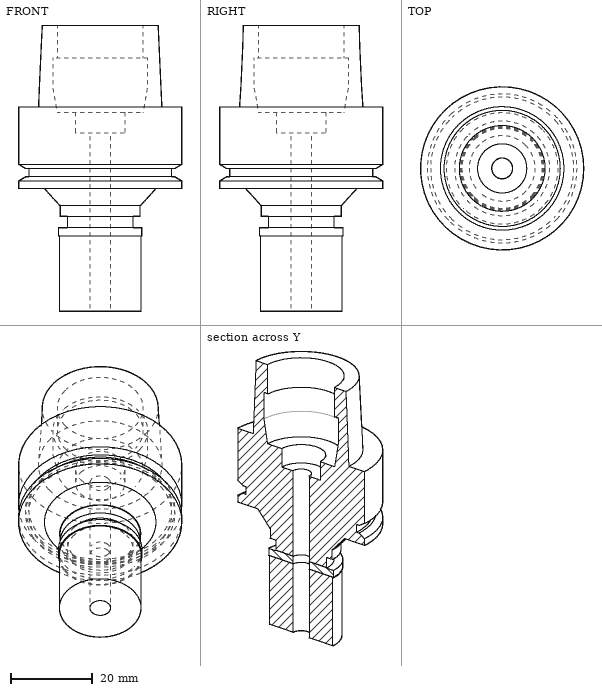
import cadquery as cq

total_height = 70.0
sleeve_top = 18.5
collar_top = 20.5
neck_top = 23.25
cone_bottom = 26.0
flange_bottom = 30.0
flange_top = 50.05

flange_diameter = 40.0
flange_radius = flange_diameter / 2
taper_base_radius = 15.1
taper_tip_radius = 14.2
cone_top_radius = 13.65
cone_bottom_radius = 9.95
shoulder_radius = 9.8
neck_radius = 8.05
collar_radius = 10.2
sleeve_radius = 10.0

groove_radius = 17.5
groove_lip_radius = 18.3
groove_bottom = 33.0
groove_width = 1.95
groove_flare_height = 1.05
groove_top = groove_bottom + groove_width

clamp_bore_radius = 10.5
undercut_radius = 11.6
clamp_lip_depth = 8.0
undercut_depth = 15.0
undercut_cone_height = 6.4
clamp_bore_depth = undercut_depth + undercut_cone_height
step_bore_radius = 6.0
step_bore_depth = 5.0
through_radius = 2.5


def cylinder(radius, bottom, top):
    return cq.Workplane("XY").workplane(offset=bottom).circle(radius).extrude(top - bottom)


def ring(outer_radius, bottom, top):
    """Cylinder pierced by the through hole."""
    return cylinder(outer_radius, bottom, top).cut(cylinder(through_radius, bottom, top))


def make_holder():
    """Turned holder: taper, grooved flange, cone, shoulder and neck."""
    outline = [
        (0, collar_top),
        (neck_radius, collar_top),
        (neck_radius, neck_top),
        (shoulder_radius, neck_top),
        (shoulder_radius, cone_bottom),
        (cone_bottom_radius, cone_bottom),
        (cone_top_radius, flange_bottom),
        (flange_radius, flange_bottom),
        (flange_radius, groove_bottom - groove_flare_height),
        (groove_lip_radius, groove_bottom),
        (groove_radius, groove_bottom),
        (groove_radius, groove_top),
        (groove_lip_radius, groove_top),
        (flange_radius, groove_top + groove_flare_height),
        (flange_radius, flange_top),
        (taper_base_radius, flange_top),
        (taper_tip_radius, total_height),
        (0, total_height),
    ]
    body = cq.Workplane("XZ").polyline(outline).close().revolve(360, (0, 0, 0), (0, 1, 0))
    bore_floor = total_height - clamp_bore_depth
    bore_lip = total_height - clamp_lip_depth
    undercut_bottom = total_height - undercut_depth
    undercut_cone = cq.Workplane(
        cq.Solid.makeCone(
            clamp_bore_radius, undercut_radius, undercut_cone_height, cq.Vector(0, 0, bore_floor)
        )
    )
    return (
        body
        .cut(cylinder(clamp_bore_radius, bore_floor, total_height))
        .cut(cylinder(undercut_radius, undercut_bottom, bore_lip))
        .cut(undercut_cone)
        .cut(cylinder(step_bore_radius, bore_floor - step_bore_depth, bore_floor))
        .cut(cylinder(through_radius, collar_top, bore_floor))
    )


def make_collar():
    """Thin ring between the holder neck and the sleeve."""
    return ring(collar_radius, sleeve_top, collar_top)


def make_sleeve():
    """Plain sleeve at the free end."""
    return ring(sleeve_radius, 0, sleeve_top)


holder = make_holder()
collar = make_collar()
sleeve = make_sleeve()
result = cq.Compound.makeCompound([holder.val(), collar.val(), sleeve.val()])